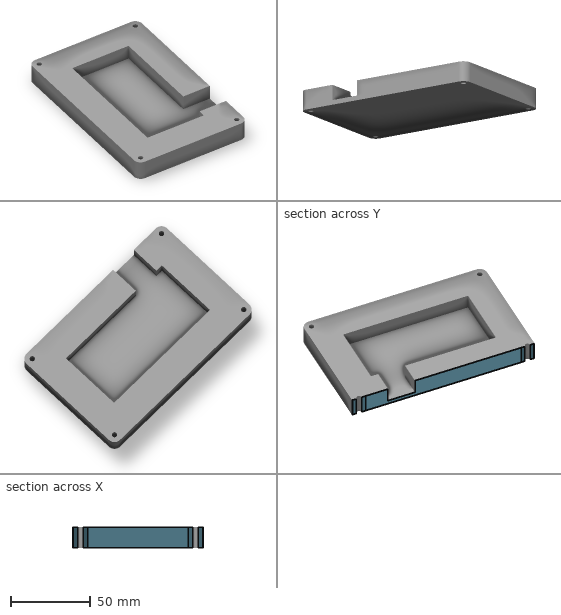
import cadquery as cq

length = 126.7
width = 82.5
height = 13.0
corner_radius = 5.0

wall = 20.0
pocket_depth = 10.0
channel_width = 18.6
channel_to_right_side = 25.0

sleeve_diameter = 8.6
bore_diameter = 3.4

sleeve_x = length / 2 - corner_radius
sleeve_y = width / 2 - corner_radius
sleeve_centres = [(x, y) for x in (-sleeve_x, sleeve_x) for y in (-sleeve_y, sleeve_y)]


def make_pocket():
    """Rectangular recess open at the top."""
    return (
        cq.Workplane("XY", origin=(0, 0, height - pocket_depth))
        .rect(length - 2 * wall, width - 2 * wall)
        .extrude(pocket_depth)
    )


def make_channel():
    """Slot as deep as the pocket, running from mid-pocket out through the +Y side."""
    channel_x = length / 2 - channel_to_right_side - channel_width / 2
    return (
        cq.Workplane("XY", origin=(channel_x, 0, height - pocket_depth))
        .rect(channel_width, width / 2)
        .extrude(pocket_depth)
        .translate((0, width / 4, 0))
    )


def make_housing():
    """Rounded block with the pocket, the channel and through holes for the sleeves."""
    block = (
        cq.Workplane("XY")
        .rect(length, width)
        .extrude(height)
        .edges("|Z")
        .fillet(corner_radius)
    )
    sleeve_holes = (
        cq.Workplane("XY")
        .pushPoints(sleeve_centres)
        .circle(sleeve_diameter / 2)
        .extrude(height)
    )
    return block.cut(make_pocket()).cut(make_channel()).cut(sleeve_holes)


def make_sleeve(centre):
    """Plain bored sleeve through the full height of the housing."""
    return (
        cq.Workplane("XY")
        .center(*centre)
        .circle(sleeve_diameter / 2)
        .circle(bore_diameter / 2)
        .extrude(height)
    )


housing = make_housing()
sleeves = [make_sleeve(centre) for centre in sleeve_centres]

result = cq.Compound.makeCompound([housing.val(), *[sleeve.val() for sleeve in sleeves]])